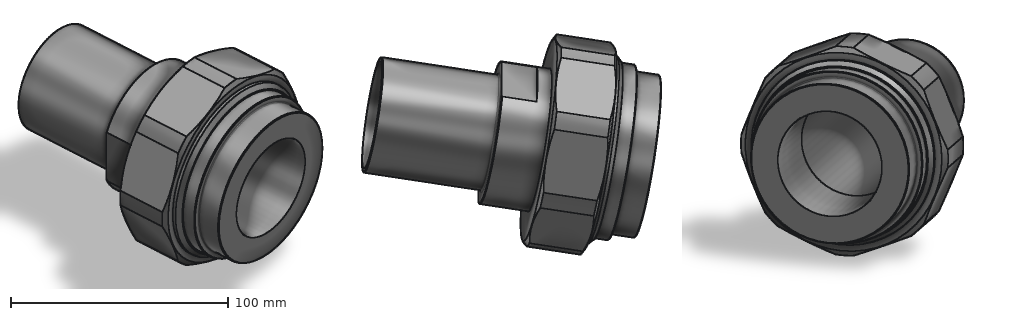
import cadquery as cq
import math


total_length = 128.5
bore_radius = 50.0 / 2
edge_chamfer = 0.4

tube_radius = 54.0 / 2
collar_radius = 66.5 / 2
collar_start = 55.1
root_fillet = 0.9
flat_distance = 30.1
flat_end = 71.6
flange_thickness = 5.1

nut_start = 78.0
nut_flats_end = 106.0
nut_end = 109.9
nut_corner_radius = 99.5 / 2
nut_across_flats = 94.8
nut_face_radius = 47.2
nut_chamfer_angle = 30.0
nut_sides = 8
nut_neck_radius = 87.8 / 2
nut_neck_chamfer = 2.2
nut_hole_radius = 67.0 / 2
nut_lip_thickness = 6.4

fitting_radius = 82.0 / 2
fitting_step = 116.7
spigot_radius = 76.1 / 2
step_fillet = 0.4

flange_start = nut_start + nut_lip_thickness
flange_end = flange_start + flange_thickness


def cylinder(radius, start, end):
    """Solid cylinder about the X axis between two X positions."""
    return cq.Workplane("YZ", origin=(start, 0, 0)).circle(radius).extrude(end - start)


def revolve_profile(points):
    """Revolve an (x, radius) outline about the X axis."""
    return cq.Workplane("XY").polyline(points).close().revolve(360, (0, 0, 0), (1, 0, 0))


def make_tailpiece():
    """Plain tube with a collar that has two wrench flats, and a hidden flange."""
    collar = cylinder(collar_radius, collar_start, flange_start)
    collar = collar.faces("<X").chamfer(edge_chamfer)
    flat_depth = collar_radius - flat_distance
    for side in (-1, 1):
        flat_cut = cq.Workplane("XY").box(
            flat_end - collar_start, flat_depth, 2 * collar_radius, centered=(False, True, True)
        ).translate((collar_start, side * (flat_distance + flat_depth / 2), 0))
        collar = collar.cut(flat_cut)

    tube = (
        cq.Workplane("XY")
        .moveTo(0, 0)
        .lineTo(0, tube_radius - edge_chamfer)
        .lineTo(edge_chamfer, tube_radius)
        .lineTo(collar_start - root_fillet, tube_radius)
        .radiusArc((collar_start, tube_radius + root_fillet), -root_fillet)
        .lineTo(collar_start, 0)
        .close()
        .revolve(360, (0, 0, 0), (1, 0, 0))
    )
    flange = cylinder(fitting_radius, flange_start, flange_end)
    bore = cylinder(bore_radius, 0, flange_end)
    return tube.union(collar).union(flange).cut(bore)


def make_nut():
    """Octagonal nut with rounded corners, chamfered faces and a round neck."""
    octagon_diameter = nut_across_flats / math.cos(math.pi / nut_sides)
    octagon = (
        cq.Workplane("YZ", origin=(nut_start, 0, 0))
        .polygon(nut_sides, octagon_diameter)
        .extrude(nut_flats_end - nut_start)
    )
    chamfer_length = (nut_corner_radius - nut_face_radius) * math.tan(math.radians(nut_chamfer_angle))
    envelope = revolve_profile([
        (nut_start, 0),
        (nut_start, nut_face_radius),
        (nut_start + chamfer_length, nut_corner_radius),
        (nut_flats_end - chamfer_length, nut_corner_radius),
        (nut_flats_end, nut_face_radius),
        (nut_flats_end, 0),
    ])
    neck = cylinder(nut_neck_radius, nut_flats_end, nut_end).faces(">X").chamfer(nut_neck_chamfer)
    lip_hole = cylinder(nut_hole_radius, nut_start, flange_start)
    cavity = cylinder(fitting_radius, flange_start, nut_end)
    return octagon.intersect(envelope).union(neck).cut(lip_hole).cut(cavity)


def make_end_fitting():
    """Stepped sleeve that enters the nut and seats against the tailpiece flange."""
    body = (
        cq.Workplane("XY")
        .moveTo(flange_end, bore_radius)
        .lineTo(flange_end, fitting_radius)
        .lineTo(fitting_step - edge_chamfer, fitting_radius)
        .lineTo(fitting_step, fitting_radius - edge_chamfer)
        .lineTo(fitting_step, spigot_radius + step_fillet)
        .radiusArc((fitting_step + step_fillet, spigot_radius), -step_fillet)
        .lineTo(total_length - edge_chamfer, spigot_radius)
        .lineTo(total_length, spigot_radius - edge_chamfer)
        .lineTo(total_length, bore_radius)
        .close()
    )
    return body.revolve(360, (0, 0, 0), (1, 0, 0))


tailpiece = make_tailpiece()
nut = make_nut()
end_fitting = make_end_fitting()

bodies = [tailpiece, nut, end_fitting]
result = cq.Compound.makeCompound([body.solids().val() for body in bodies])